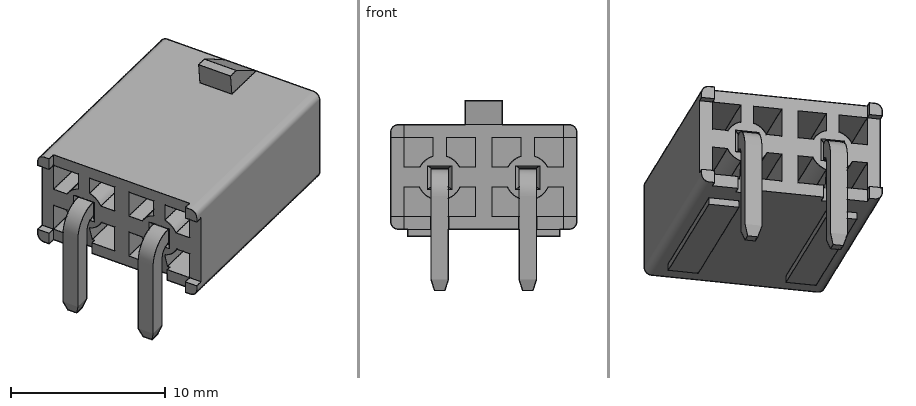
import cadquery as cq


BODY_WIDTH = 12.05
BODY_HEIGHT = 6.77
BODY_LENGTH = 14.76
EDGE_RADIUS = 0.5
HALF_HEIGHT = BODY_HEIGHT / 2

POST_WIDTH = 0.87
POST_HEIGHT = 0.84
POST_LENGTH = 0.54

PITCH = 5.70
CONTACT_Z = -0.04
CONTACT_XS = (-PITCH / 2, PITCH / 2)
POCKET_FIELD_WIDTH = 4.61
POCKET_FIELD_HEIGHT = BODY_HEIGHT - 2 * POST_HEIGHT
POCKET_DEPTH = 5.0
VERTICAL_WEB = 0.86
HORIZONTAL_WEB = 1.28
HUB_RADIUS = 1.45

SLOT_WIDTH = 1.21
SLOT_SETBACK = 0.60

ENTRY_MOUTH_WIDTH = 1.57
ENTRY_MOUTH_HEIGHT = 1.53
ENTRY_THROAT_HEIGHT = 1.25
ENTRY_DEPTH = 0.25

PIN_SIZE = 1.13
PIN_OUTER_RADIUS = 1.78
PIN_INNER_RADIUS = PIN_OUTER_RADIUS - PIN_SIZE
PIN_PROJECTION = 1.68
PIN_DROP = 3.96
PIN_EMBEDDED_LENGTH = 2.0
TIP_LENGTH = 0.70
TIP_SIZE = 0.68

LATCH_WIDTH = 2.42
LATCH_HEIGHT = 1.55
LATCH_RAMP_LENGTH = 2.48
LATCH_TOP_LENGTH = 0.72
LATCH_BASE_LENGTH = 3.03

RAIL_SPAN = 9.86
RAIL_WIDTH = 2.0
RAIL_HEIGHT = 0.46
RAIL_LENGTH = 10.83
RAIL_START = 1.90


def block(x_range, y_range, z_range):
    """Axis-aligned block between the given limits."""
    (x0, x1), (y0, y1), (z0, z1) = x_range, y_range, z_range
    return cq.Workplane("XY").box(x1 - x0, y1 - y0, z1 - z0, centered=False).translate((x0, y0, z0))


def make_housing():
    """Rounded block whose front end is relieved to leave four corner posts."""
    half_width = BODY_WIDTH / 2
    housing = block((-half_width, half_width), (-POST_LENGTH, BODY_LENGTH), (-HALF_HEIGHT, HALF_HEIGHT))
    housing = housing.edges("|Y").fillet(EDGE_RADIUS)
    relief_depth = (-POST_LENGTH, 0)
    inner_x = half_width - POST_WIDTH
    inner_z = HALF_HEIGHT - POST_HEIGHT
    between_sides = block((-inner_x, inner_x), relief_depth, (-HALF_HEIGHT, HALF_HEIGHT))
    between_levels = block((-half_width, half_width), relief_depth, (-inner_z, inner_z))
    return housing.cut(between_sides).cut(between_levels)


def make_pockets(x):
    """Four corner pockets separated by a cross of webs and a round hub."""
    half_width = POCKET_FIELD_WIDTH / 2
    half_height = POCKET_FIELD_HEIGHT / 2
    depth = (0, POCKET_DEPTH)
    field = block((x - half_width, x + half_width), depth, (-half_height, half_height))
    upright = block((x - VERTICAL_WEB / 2, x + VERTICAL_WEB / 2), depth, (-half_height, half_height))
    crossbar = block((x - half_width, x + half_width), depth, (-HORIZONTAL_WEB / 2, HORIZONTAL_WEB / 2))
    hub = cq.Workplane("XZ").center(x, CONTACT_Z).circle(HUB_RADIUS).extrude(-POCKET_DEPTH)
    return field.cut(upright).cut(crossbar).cut(hub)


def make_slot(x):
    """Wedge that opens from the bottom of the hub to the underside of the housing."""
    wedge = [(0, CONTACT_Z - HUB_RADIUS), (SLOT_SETBACK, -HALF_HEIGHT), (0, -HALF_HEIGHT)]
    return cq.Workplane("YZ", origin=(x, 0, 0)).polyline(wedge).close().extrude(SLOT_WIDTH / 2, both=True)


def make_entry(x):
    """Rectangular funnel narrowing to the width of the contact."""
    return (
        cq.Workplane("XZ", origin=(x, 0, CONTACT_Z))
        .rect(ENTRY_MOUTH_WIDTH, ENTRY_MOUTH_HEIGHT)
        .workplane(offset=-ENTRY_DEPTH)
        .rect(PIN_SIZE, ENTRY_THROAT_HEIGHT)
        .loft(ruled=True)
    )


def make_pin(x):
    """Square contact leaving the housing, bent straight down and ending in a tapered tip."""
    half = PIN_SIZE / 2
    top_z = CONTACT_Z + half
    underside_z = CONTACT_Z - half
    front_y = -PIN_PROJECTION
    back_y = front_y + PIN_SIZE
    bend_y = front_y + PIN_OUTER_RADIUS
    bend_z = top_z - PIN_OUTER_RADIUS
    tip_z = -HALF_HEIGHT - PIN_DROP
    shoulder_z = tip_z + TIP_LENGTH
    bent_bar = (
        cq.Workplane("YZ", origin=(x, 0, 0))
        .moveTo(PIN_EMBEDDED_LENGTH, top_z)
        .lineTo(bend_y, top_z)
        .radiusArc((front_y, bend_z), -PIN_OUTER_RADIUS)
        .lineTo(front_y, shoulder_z)
        .lineTo(back_y, shoulder_z)
        .lineTo(back_y, bend_z)
        .radiusArc((bend_y, underside_z), PIN_INNER_RADIUS)
        .lineTo(PIN_EMBEDDED_LENGTH, underside_z)
        .close()
        .extrude(half, both=True)
    )
    tip = (
        cq.Workplane("XY", origin=(x, front_y + half, shoulder_z))
        .rect(PIN_SIZE, PIN_SIZE)
        .workplane(offset=-TIP_LENGTH)
        .rect(TIP_SIZE, TIP_SIZE)
        .loft(ruled=True)
    )
    return bent_bar.union(tip)


def make_latch():
    """Ramp rising from the mating end to a flat top, with an undercut catch face."""
    top_z = HALF_HEIGHT + LATCH_HEIGHT
    ramp_top_y = BODY_LENGTH - LATCH_RAMP_LENGTH
    profile = [
        (BODY_LENGTH, HALF_HEIGHT),
        (ramp_top_y, top_z),
        (ramp_top_y - LATCH_TOP_LENGTH, top_z),
        (BODY_LENGTH - LATCH_BASE_LENGTH, HALF_HEIGHT),
    ]
    return cq.Workplane("YZ").polyline(profile).close().extrude(LATCH_WIDTH / 2, both=True)


def make_rail(side):
    """Rail under one side of the housing; side is -1 or +1."""
    outer_x = side * RAIL_SPAN / 2
    inner_x = outer_x - side * RAIL_WIDTH
    x_range = (min(outer_x, inner_x), max(outer_x, inner_x))
    return block(x_range, (RAIL_START, RAIL_START + RAIL_LENGTH), (-HALF_HEIGHT - RAIL_HEIGHT, -HALF_HEIGHT))


result = make_housing().union(make_latch())
for side in (-1, 1):
    result = result.union(make_rail(side))
for contact_x in CONTACT_XS:
    result = result.cut(make_pockets(contact_x))
    result = result.cut(make_slot(contact_x))
    result = result.cut(make_entry(contact_x))
    result = result.union(make_pin(contact_x))